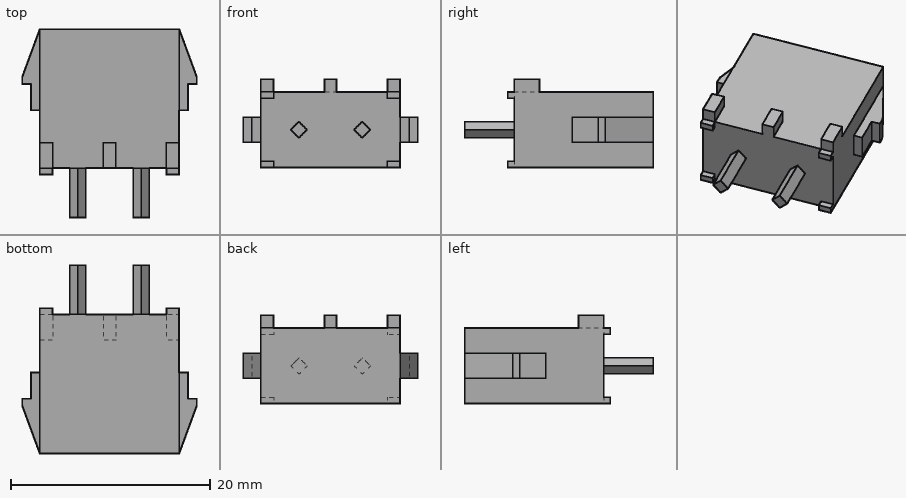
import cadquery as cq

body_width = 14.0
body_depth = 13.96
body_height = 7.6
half_width = body_width / 2

rib_width = 1.29
middle_rib_width = 1.21
rib_length = 2.55
rib_height = 1.29

foot_width = rib_width
foot_size = 0.65

overall_width = 17.54
latch_reach = (overall_width - body_width) / 2
latch_step_reach = latch_reach / 2
latch_height = 2.54
ramp_length = 4.8
latch_tip_end = 5.52
latch_step_end = 8.15

pin_pitch = 6.35
pin_diagonal = 1.63
overall_depth = 18.92
pin_length = overall_depth - body_depth


def box(width, depth, height, x, y, z):
    """Box centred on x, with its lowest Y and Z at y and z."""
    return cq.Workplane("XY").box(width, depth, height, centered=(True, False, False)).translate((x, y, z))


def make_latch(side):
    """Ramped, stepped latch on the side face given by side = -1 or 1."""
    wall = side * half_width
    tip = side * (half_width + latch_reach)
    step = side * (half_width + latch_step_reach)
    outline = [
        (wall, body_depth),
        (tip, body_depth - ramp_length),
        (tip, body_depth - latch_tip_end),
        (step, body_depth - latch_tip_end),
        (step, body_depth - latch_step_end),
        (wall, body_depth - latch_step_end),
    ]
    base = cq.Workplane("XY").workplane(offset=(body_height - latch_height) / 2)
    return base.polyline(outline).close().extrude(latch_height)


def make_pin(x):
    """Pin with a diamond section, reaching forward from the front face."""
    section = cq.Workplane("XZ").center(x, body_height / 2).polygon(4, pin_diagonal)
    return section.extrude(pin_length)


result = box(body_width, body_depth, body_height, 0, 0, 0)

corner_x = half_width - rib_width / 2
for x, width in ((-corner_x, rib_width), (0, middle_rib_width), (corner_x, rib_width)):
    result = result.union(box(width, rib_length, rib_height, x, 0, body_height))

for x in (-corner_x, corner_x):
    for z in (0, body_height - foot_size):
        result = result.union(box(foot_width, foot_size, foot_size, x, -foot_size, z))

for side in (-1, 1):
    result = result.union(make_latch(side))
    result = result.union(make_pin(side * pin_pitch / 2))